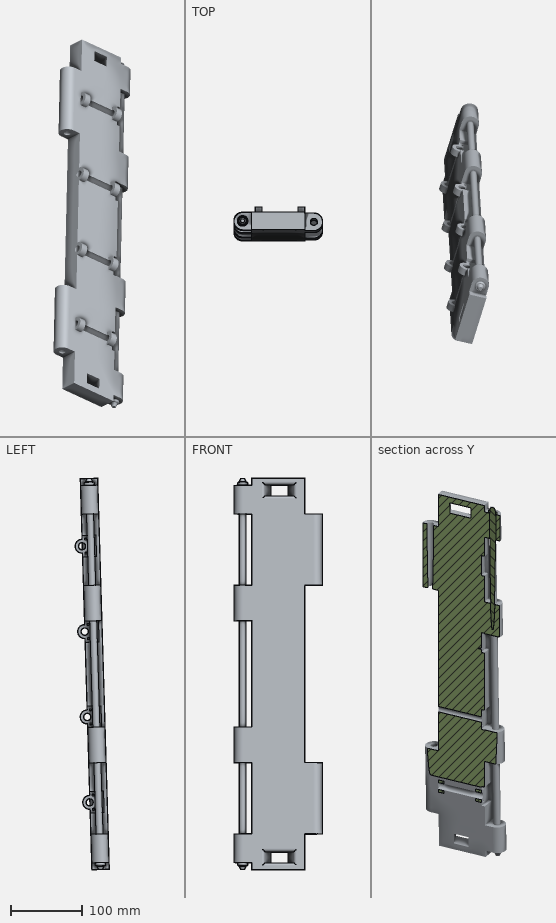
import cadquery as cq
import math

overall_height = 550.5
overall_width = 125.0
lean_angle = 1.7

plate_width = 75.0
plate_thickness = 25.0
lean = math.radians(lean_angle)
plate_height = (overall_height - plate_thickness * math.sin(lean)) / math.cos(lean)
plate_side = plate_width / 2
plate_end = plate_height / 2

knuckle_radius = plate_thickness / 2
hinge_offset = overall_width / 2 - knuckle_radius
end_relief = 10.0
outer_knuckle_length = 40.0
inner_knuckle_length = 50.0
knuckle_gap = 100.0
outer_knuckle_end = plate_end - end_relief
outer_knuckle_start = outer_knuckle_end - outer_knuckle_length
inner_knuckle_end = outer_knuckle_start - knuckle_gap
inner_knuckle_start = inner_knuckle_end - inner_knuckle_length

pin_diameter = 10.0
pin_tip_diameter = 5.5
pin_taper_length = 4.5
ring_diameter = 15.0
ring_end_diameter = 12.0
ring_height = 4.5

lug_count = 4
lug_pitch = 120.0
lug_radius = 10.0
lug_bore = 10.0
lug_thickness = 10.0
lug_inset = 5.0
recess_height = 30.5
recess_depth = 20.0
screw_diameter = 3.0
screw_spacing = 20.0
screw_inset = 5.0
screw_depth = 5.0
lug_heights = [(i - (lug_count - 1) / 2) * lug_pitch for i in range(lug_count)]

window_height = 15.5
window_front_width = 43.0
window_back_width = 23.5
window_shift = 1.5
window_end_distance = 17.0
window_rounding = 4.0


def box_between(x_range, y_range, z_range):
    """Box given by its limits along each axis."""
    size = [high - low for low, high in (x_range, y_range, z_range)]
    corner = (x_range[0], y_range[0], z_range[0])
    return cq.Workplane("XY").box(*size, centered=False).translate(corner)


def cylinder_along_x(diameter, x_range, y, z):
    """Cylinder with its axis parallel to X."""
    length = x_range[1] - x_range[0]
    return cq.Workplane("YZ", origin=(x_range[0], y, z)).circle(diameter / 2).extrude(length)


def cylinder_along_z(diameter, x, y, z_range):
    """Cylinder with its axis parallel to Z."""
    length = z_range[1] - z_range[0]
    return cq.Workplane("XY", origin=(x, y, z_range[0])).circle(diameter / 2).extrude(length)


def make_knuckle(side, z_range):
    """Round-nosed hinge knuckle; side is -1 for the left and +1 for the right."""
    axis_x = side * hinge_offset
    web = box_between(sorted((axis_x, side * plate_side)), (0, plate_thickness), z_range)
    nose = cylinder_along_z(plate_thickness, axis_x, knuckle_radius, z_range)
    bore = cylinder_along_z(pin_diameter, axis_x, knuckle_radius, z_range)
    return web.union(nose).cut(bore)


def make_window(end):
    """Cutter for a grip window that narrows to the back; end is +1 for the top, -1 for the bottom."""
    z = end * (plate_end - window_end_distance)
    half_front = window_front_width / 2
    half_back = window_back_width / 2
    outline = [
        (-half_front, 0),
        (half_front, 0),
        (half_back, plate_thickness),
        (-half_back, plate_thickness),
    ]
    bottom = (window_shift, 0, z - window_height / 2)
    return cq.Workplane("XY", origin=bottom).polyline(outline).close().extrude(window_height)


def make_body():
    """Solid plate with its two grip windows, rounded at the front."""
    plate = box_between((-plate_side, plate_side), (0, plate_thickness), (-plate_end, plate_end))
    for end in (-1, 1):
        plate = plate.cut(make_window(end))
    window_rims = plate.faces("<Y").val().innerWires()
    rim_edges = [edge for rim in window_rims for edge in rim.Edges()]
    return plate.newObject(rim_edges).fillet(window_rounding)


def add_lugs(link, z):
    """Add the left and right lug at one height, with the left recess, screw holes and cross bore."""
    recess_floor = -plate_side + lug_inset
    recess = box_between(
        (-plate_side, recess_floor),
        (plate_thickness - recess_depth, plate_thickness),
        (z - recess_height / 2, z + recess_height / 2),
    )
    link = link.cut(recess)
    for lug_start in (recess_floor, plate_side - lug_thickness):
        x_range = (lug_start, lug_start + lug_thickness)
        link = link.union(cylinder_along_x(2 * lug_radius, x_range, plate_thickness, z))
    link = link.cut(cylinder_along_x(lug_bore, (-plate_side, plate_side), plate_thickness, z))
    for screw_z in (z - screw_spacing / 2, z + screw_spacing / 2):
        x_range = (recess_floor, recess_floor + screw_depth)
        link = link.cut(cylinder_along_x(screw_diameter, x_range, plate_thickness - screw_inset, screw_z))
    return link


def make_link():
    """Plate, hinge knuckles and lugs as one solid."""
    link = make_body()
    upper_knuckles = (
        (-1, outer_knuckle_start, outer_knuckle_end),
        (-1, inner_knuckle_start, inner_knuckle_end),
        (1, inner_knuckle_end, outer_knuckle_start),
    )
    for side, low, high in upper_knuckles:
        link = link.union(make_knuckle(side, (low, high)))
        link = link.union(make_knuckle(side, (-high, -low)))
    for z in lug_heights:
        link = add_lugs(link, z)
    return link


def revolve_on_hinge(profile):
    """Turn a closed (radius, height) profile about Z and place it on the left hinge axis."""
    turned = profile.close().revolve(360, (0, 0, 0), (0, 1, 0))
    return turned.translate((-hinge_offset, knuckle_radius, 0))


def make_pin():
    """Hinge pin as long as the plate, tapered at both tips."""
    shank_radius = pin_diameter / 2
    tip_radius = pin_tip_diameter / 2
    shank_end = plate_end - pin_taper_length
    profile = cq.Workplane("XZ").polyline(
        [
            (0, -plate_end),
            (tip_radius, -plate_end),
            (shank_radius, -shank_end),
            (shank_radius, shank_end),
            (tip_radius, plate_end),
            (0, plate_end),
        ]
    )
    return revolve_on_hinge(profile)


def make_ring(end):
    """Retaining ring with a rounded rim on an outer knuckle; end is +1 for the top, -1 for the bottom."""
    bottom = min(end * outer_knuckle_end, end * (outer_knuckle_end + ring_height))
    top = bottom + ring_height
    bore_radius = pin_diameter / 2
    end_radius = ring_end_diameter / 2
    profile = (
        cq.Workplane("XZ")
        .moveTo(bore_radius, bottom)
        .lineTo(end_radius, bottom)
        .threePointArc((ring_diameter / 2, (bottom + top) / 2), (end_radius, top))
        .lineTo(bore_radius, top)
    )
    return revolve_on_hinge(profile)


def lean_back(body):
    """Lean a body about the X axis."""
    return body.rotate((0, 0, 0), (1, 0, 0), -lean_angle)


link = lean_back(make_link())
pin = lean_back(make_pin())
rings = [lean_back(make_ring(end)) for end in (-1, 1)]

result = cq.Compound.makeCompound([link.val(), pin.val(), *[ring.val() for ring in rings]])